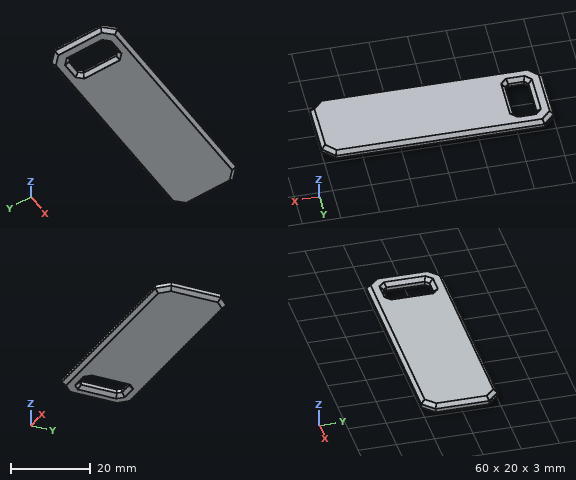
import cadquery as cq


length = 60.0
width = length / 3
thickness = 3.0
corner_cut = 3.0
bevel = thickness / 3

slot_length = 6.0
slot_width = 12.0
slot_corner_cut = bevel
slot_margin = 3.0
slot_center_x = -length / 2 + slot_margin + bevel + slot_length / 2


def clipped_block(size_x, size_y, cut):
    """Block of full plate thickness with its four vertical corners clipped."""
    block = cq.Workplane("XY").rect(size_x, size_y).extrude(thickness)
    return block.edges("|Z").chamfer(cut)


plate = clipped_block(length, width, corner_cut)
slot = clipped_block(slot_length, slot_width, slot_corner_cut).translate((slot_center_x, 0, 0))

result = plate.cut(slot).faces("<Z or >Z").edges().chamfer(bevel)